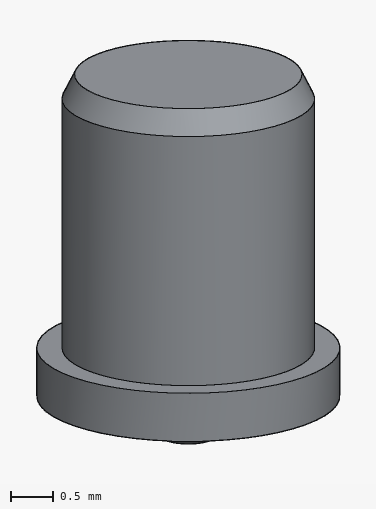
import cadquery as cq

total_height = 4.55
flange_diameter = 3.6
flange_thickness = 0.6
body_diameter = 3.0
tip_diameter = 2.7
taper_height = 0.3
ball_radius = 1.0
ball_protrusion = 0.55

body_top = total_height - ball_protrusion
taper_start = body_top - taper_height
ball_center = ball_radius - ball_protrusion

pin = (
    cq.Workplane("XZ")
    .lineTo(flange_diameter / 2, 0)
    .lineTo(flange_diameter / 2, flange_thickness)
    .lineTo(body_diameter / 2, flange_thickness)
    .lineTo(body_diameter / 2, taper_start)
    .lineTo(tip_diameter / 2, body_top)
    .lineTo(0, body_top)
    .close()
    .revolve(360, (0, 0), (0, 1))
)

ball = cq.Workplane("XY").sphere(ball_radius).translate((0, 0, ball_center))

result = pin.union(ball)